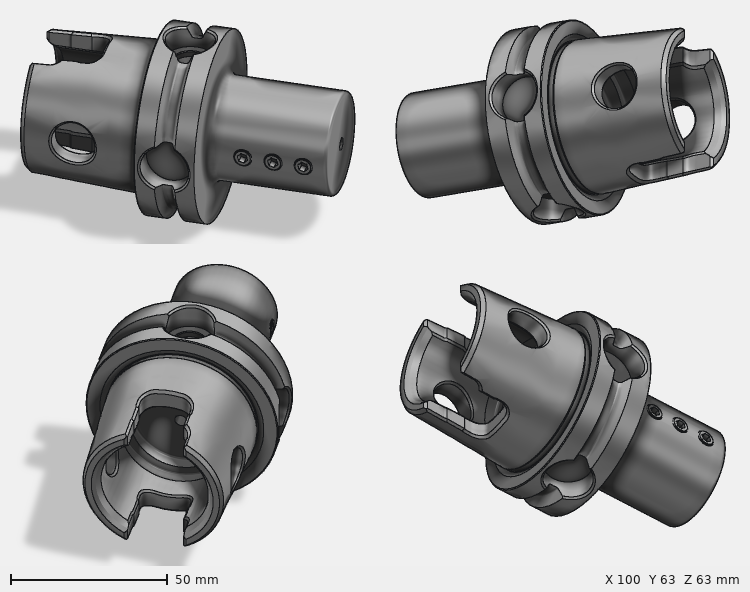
import cadquery as cq
import math

TOTAL_LENGTH = 99.95

FLANGE_START = 40.0
FLANGE_WIDTH = 20.0
FLANGE_RADIUS = 31.5
FLANGE_EDGE_CHAMFER = 0.3
FLANGE_END = FLANGE_START + FLANGE_WIDTH
FLANGE_MIDDLE = FLANGE_START + FLANGE_WIDTH / 2

GROOVE_HALF_TOP = 3.4
GROOVE_HALF_BOTTOM = 1.5
GROOVE_RADIUS = 27.8
GROOVE_FILLET = 1.0

GAUGE_RADIUS = 25.0
TAPER_SLOPE = 0.05
TAPER_END = 38.8
TAPER_CHAMFER_LENGTH = 1.4
TAPER_CHAMFER_DEPTH = 1.0

NECK_START = 39.4
NECK_RADIUS = 24.5
RELIEF_OUTER_RADIUS = 26.9
RELIEF_INNER_RADIUS = 25.7
RELIEF_FLOOR_RADIUS = 24.9
RELIEF_SLOPE_DEPTH = 0.7
RELIEF_DEPTH = 1.0

SHANK_RADIUS = 17.0
SHANK_FILLET = 3.0
SHANK_END_FILLET = 1.2

BORE_RADIUS = 17.6
MOUTH_CHAMFER = 1.2
LEAD_CONE_DEPTH = 1.2
LEAD_CONE_ANGLE = math.radians(30)
LEAD_CONE_LENGTH = LEAD_CONE_DEPTH / math.tan(LEAD_CONE_ANGLE)
LEAD_CONE_RADIUS = BORE_RADIUS + LEAD_CONE_DEPTH
MOUTH_RADIUS = LEAD_CONE_RADIUS + MOUTH_CHAMFER
UNDERCUT_START = 29.9
UNDERCUT_DEPTH = 0.8
STEP_X = 34.5
FLOOR_X = 38.7
FLOOR_RADIUS = 15.5
FLOOR_FILLET = 1.2
COOLANT_RADIUS = 2.0

SLOT_HALF_WIDTH = 8.0
SLOT_END = 21.9
SLOT_CORNER_RADIUS = 4.0
SLOT_RELIEF_HALF_WIDTH = 8.3
SLOT_RELIEF_START = 14.6
SLOT_STEP_RADIUS = 1.5
SHALLOW_ENTRY_END = 8.9
DEEP_ENTRY_HALF_WIDTH = 10.1
DEEP_ENTRY_END = 9.9
SLOT_MOUTH_CHAMFER = 0.9
SLOT_OUTER_CHAMFER = 0.9

CROSS_HOLE_X = 17.7
CROSS_HOLE_RADIUS = 7.3
CROSS_HOLE_OUTER_CHAMFER = 0.7

BORE_EDGE_CHAMFER = 0.6

POCKET_ANGLES = (0, 90, 180, 270)
POCKET_RADIUS = 8.0
POCKET_FLOOR_RADIUS = 23.3
POCKET_CHAMFER = 0.7

CHIP_HOLE_RADIUS = 5.2
CHIP_HOLE_CHAMFER = 0.3
CHIP_HOLE_DEPTH = 2.0
CHIP_CONE_DEPTH = 3.0

SCREW_RADIUS = 3.0
SCREW_LENGTH = 10.0
SCREW_CHAMFER = 0.4
SOCKET_WIDTH = 3.0
SOCKET_DEPTH = 3.0
SOCKET_TURN = -15.0
SCREW_FIRST_OFFSET = 12.0
SCREW_PITCH = 10.0
SCREW_COUNT = 3
SCREW_POSITIONS = [FLANGE_END + SCREW_FIRST_OFFSET + i * SCREW_PITCH for i in range(SCREW_COUNT)]

CLEARANCE = 2 * FLANGE_RADIUS


def taper_radius(x):
    return GAUGE_RADIUS - TAPER_SLOPE * (FLANGE_START - x)


def revolve_about_x(profile):
    return profile.close().revolve(360, (0, 0, 0), (1, 0, 0))


def holder_blank():
    """Outside of the taper, flange and shank."""
    chamfer_radius = taper_radius(TAPER_CHAMFER_LENGTH)
    return revolve_about_x(
        cq.Workplane("XY")
        .lineTo(0, chamfer_radius - TAPER_CHAMFER_DEPTH)
        .lineTo(TAPER_CHAMFER_LENGTH, chamfer_radius)
        .lineTo(TAPER_END, taper_radius(TAPER_END))
        .lineTo(NECK_START, NECK_RADIUS)
        .lineTo(FLANGE_START + RELIEF_DEPTH, NECK_RADIUS)
        .lineTo(FLANGE_START + RELIEF_DEPTH, RELIEF_FLOOR_RADIUS)
        .lineTo(FLANGE_START + RELIEF_SLOPE_DEPTH, RELIEF_INNER_RADIUS)
        .lineTo(FLANGE_START, RELIEF_OUTER_RADIUS)
        .lineTo(FLANGE_START, FLANGE_RADIUS - FLANGE_EDGE_CHAMFER)
        .lineTo(FLANGE_START + FLANGE_EDGE_CHAMFER, FLANGE_RADIUS)
        .lineTo(FLANGE_END, FLANGE_RADIUS)
        .lineTo(FLANGE_END, SHANK_RADIUS + SHANK_FILLET)
        .radiusArc((FLANGE_END + SHANK_FILLET, SHANK_RADIUS), -SHANK_FILLET)
        .lineTo(TOTAL_LENGTH - SHANK_END_FILLET, SHANK_RADIUS)
        .radiusArc((TOTAL_LENGTH, SHANK_RADIUS - SHANK_END_FILLET), SHANK_END_FILLET)
        .lineTo(TOTAL_LENGTH, 0)
    )


def cavity():
    """Stepped cavity in the taper, with the coolant hole running on through the shank."""
    undercut_radius = BORE_RADIUS + UNDERCUT_DEPTH
    return revolve_about_x(
        cq.Workplane("XY")
        .lineTo(0, MOUTH_RADIUS)
        .lineTo(MOUTH_CHAMFER, LEAD_CONE_RADIUS)
        .lineTo(MOUTH_CHAMFER + LEAD_CONE_LENGTH, BORE_RADIUS)
        .lineTo(UNDERCUT_START, BORE_RADIUS)
        .lineTo(UNDERCUT_START, undercut_radius)
        .lineTo(STEP_X - UNDERCUT_DEPTH, undercut_radius)
        .radiusArc((STEP_X, BORE_RADIUS), UNDERCUT_DEPTH)
        .lineTo(STEP_X, FLOOR_RADIUS)
        .lineTo(FLOOR_X - FLOOR_FILLET, FLOOR_RADIUS)
        .radiusArc((FLOOR_X, FLOOR_RADIUS - FLOOR_FILLET), FLOOR_FILLET)
        .lineTo(FLOOR_X, COOLANT_RADIUS)
        .lineTo(TOTAL_LENGTH, COOLANT_RADIUS)
        .lineTo(TOTAL_LENGTH, 0)
    )


def gripper_groove():
    groove = revolve_about_x(
        cq.Workplane("XY")
        .moveTo(FLANGE_MIDDLE - GROOVE_HALF_TOP, FLANGE_RADIUS)
        .lineTo(FLANGE_MIDDLE - GROOVE_HALF_BOTTOM, GROOVE_RADIUS)
        .lineTo(FLANGE_MIDDLE + GROOVE_HALF_BOTTOM, GROOVE_RADIUS)
        .lineTo(FLANGE_MIDDLE + GROOVE_HALF_TOP, FLANGE_RADIUS)
    )
    bottom_edges = groove.edges(cq.selectors.RadiusNthSelector(0))
    return bottom_edges.fillet(GROOVE_FILLET)


def taper_opening(shape, outer_chamfer):
    """Cutter that opens the taper wall along the shape and chamfers both of its rims.

    The shape is cut from a plain sleeve between bore and taper, which also reaches out
    beyond the taper end. The rims are chamfered there, and what is missing is the cutter.
    """
    start = -SLOT_END
    end = UNDERCUT_START
    sleeve = revolve_about_x(
        cq.Workplane("XY")
        .moveTo(start, BORE_RADIUS)
        .lineTo(start, taper_radius(start))
        .lineTo(end, taper_radius(end))
        .lineTo(end, BORE_RADIUS)
    )

    def rims(body, radius_at):
        tolerance = 0.001
        found = []
        for edge in body.edges("not(<X or >X)").vals():
            ends = (edge.startPoint(), edge.endPoint())
            if all(abs(math.hypot(p.y, p.z) - radius_at(p.x)) < tolerance for p in ends):
                found.append(edge)
        return body.newObject(found)

    opened = sleeve.cut(shape)
    opened = rims(opened, taper_radius).chamfer(outer_chamfer)
    opened = rims(opened, lambda x: BORE_RADIUS).chamfer(BORE_EDGE_CHAMFER)
    return sleeve.cut(opened)


def slot_block(x_start, x_end, y_start, y_end):
    """Block that passes through the taper in Z."""
    size = (x_end - x_start, y_end - y_start, CLEARANCE)
    return cq.Workplane("XY").box(*size, centered=False).translate((x_start, y_start, -CLEARANCE / 2))


def drive_slots():
    """Cutters for the slot channel, its relieved end and its two wider entries."""
    outside = -CLEARANCE
    overlap = SLOT_HALF_WIDTH / 2
    channel = slot_block(
        outside, SLOT_END - SLOT_CORNER_RADIUS, -SLOT_HALF_WIDTH, SLOT_HALF_WIDTH
    )
    channel = channel.edges("|Z and >X").fillet(SLOT_STEP_RADIUS)

    relief = slot_block(
        SLOT_RELIEF_START, SLOT_END, -SLOT_RELIEF_HALF_WIDTH, SLOT_RELIEF_HALF_WIDTH
    )
    relief = relief.edges("|Z and >X").fillet(SLOT_CORNER_RADIUS)
    relief = relief.edges("|Z and <X").fillet(SLOT_STEP_RADIUS)

    shallow_entry = slot_block(outside, SHALLOW_ENTRY_END, -overlap, SLOT_RELIEF_HALF_WIDTH)
    shallow_entry = shallow_entry.edges("|Z and >X and >Y").fillet(SLOT_STEP_RADIUS)

    deep_entry = slot_block(outside, DEEP_ENTRY_END, -DEEP_ENTRY_HALF_WIDTH, overlap)
    deep_entry = deep_entry.edges("|Z and >X and <Y").fillet(SLOT_CORNER_RADIUS)

    shapes = (channel, relief, shallow_entry, deep_entry)
    return [taper_opening(shape, SLOT_OUTER_CHAMFER) for shape in shapes]


def slot_mouth():
    """Wedge that chamfers the corners between the slot sides and the end of the taper."""
    return (
        cq.Workplane("XY")
        .workplane(offset=-CLEARANCE / 2)
        .moveTo(0, SLOT_RELIEF_HALF_WIDTH + SLOT_MOUTH_CHAMFER)
        .lineTo(SLOT_MOUTH_CHAMFER, SLOT_RELIEF_HALF_WIDTH)
        .lineTo(SLOT_MOUTH_CHAMFER, -DEEP_ENTRY_HALF_WIDTH)
        .lineTo(0, -DEEP_ENTRY_HALF_WIDTH - SLOT_MOUTH_CHAMFER)
        .close()
        .extrude(CLEARANCE)
    )


def cross_hole():
    hole = (
        cq.Workplane("XZ", origin=(CROSS_HOLE_X, CLEARANCE / 2, 0))
        .circle(CROSS_HOLE_RADIUS)
        .extrude(CLEARANCE)
    )
    return taper_opening(hole, CROSS_HOLE_OUTER_CHAMFER)


def flange_pocket():
    """Cutter for the round pocket on the +Z side, with a chamfer around its curved rim."""
    disc = cq.Workplane("YZ", origin=(FLANGE_START, 0, 0)).circle(FLANGE_RADIUS).extrude(FLANGE_WIDTH)
    hole = (
        cq.Workplane("XY", origin=(FLANGE_MIDDLE, 0, POCKET_FLOOR_RADIUS))
        .circle(POCKET_RADIUS)
        .extrude(FLANGE_RADIUS)
    )
    pocketed = disc.cut(hole)
    rim = pocketed.edges("not(%CIRCLE or %LINE)")
    return disc.cut(rim.chamfer(POCKET_CHAMFER))


def chip_hole():
    """Countersunk blind hole with a conical bottom."""
    return (
        cq.Workplane("XZ")
        .lineTo(CHIP_HOLE_RADIUS + CHIP_HOLE_CHAMFER, 0)
        .lineTo(CHIP_HOLE_RADIUS, -CHIP_HOLE_CHAMFER)
        .lineTo(CHIP_HOLE_RADIUS, -CHIP_HOLE_DEPTH)
        .lineTo(0, -CHIP_HOLE_DEPTH - CHIP_CONE_DEPTH)
        .close()
        .revolve(360, (0, 0, 0), (0, 1, 0))
        .translate((FLANGE_MIDDLE, 0, POCKET_FLOOR_RADIUS))
    )


def screw_blank(x):
    """Cylinder with a chamfered outer end that touches the shank's -Y outline."""
    return (
        cq.Workplane("XZ", origin=(x, SCREW_LENGTH - SHANK_RADIUS, 0))
        .circle(SCREW_RADIUS)
        .extrude(SCREW_LENGTH)
        .faces("<Y")
        .chamfer(SCREW_CHAMFER)
    )


def set_screw(x):
    """Headless screw with a hexagon socket."""
    corner_diameter = SOCKET_WIDTH / math.cos(math.pi / 6)
    socket = (
        cq.Workplane("XZ", origin=(x, SOCKET_DEPTH - SHANK_RADIUS, 0))
        .transformed(rotate=(0, 0, SOCKET_TURN))
        .polygon(6, corner_diameter)
        .extrude(SOCKET_DEPTH)
    )
    return screw_blank(x).cut(socket)


def tool_holder():
    body = holder_blank().cut(cavity()).cut(gripper_groove())
    for slot in drive_slots():
        body = body.cut(slot)
    body = body.cut(slot_mouth()).cut(cross_hole())
    pocket = flange_pocket()
    for angle in POCKET_ANGLES:
        body = body.cut(pocket.rotate((0, 0, 0), (1, 0, 0), angle))
    body = body.cut(chip_hole())
    for x in SCREW_POSITIONS:
        body = body.cut(screw_blank(x))
    return body


holder = tool_holder()
screws = [set_screw(x) for x in SCREW_POSITIONS]

result = cq.Compound.makeCompound([holder.val(), *[screw.val() for screw in screws]])